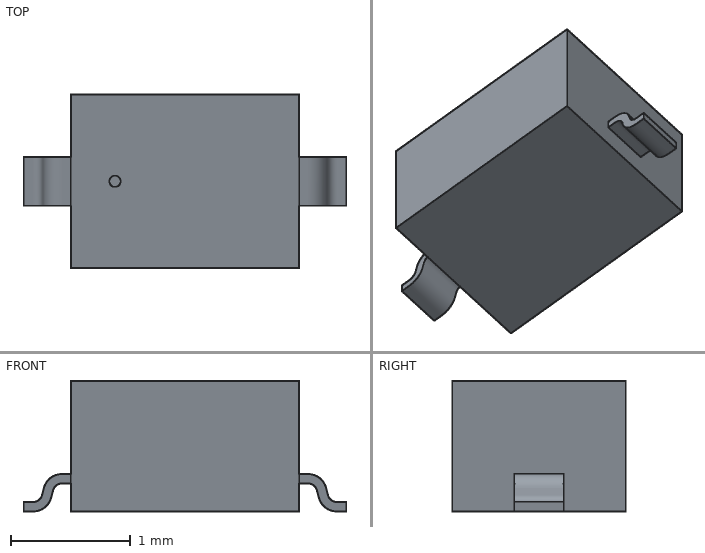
import cadquery as cq
import math

overall_length = 2.69
body_length = 1.902
body_width = 1.45
body_height = 1.09

lead_width = 0.41
lead_thickness = 0.08
lead_top = 0.315
shoulder_length = 0.075
inner_radius = 0.075
bend_angle = math.radians(75)

mark_diameter = 0.095
mark_depth = 0.027
mark_x = -0.585


def make_mark():
    """Thin disc whose upper face is level with the top of the body."""
    return (
        cq.Workplane("XY", origin=(mark_x, 0, body_height - mark_depth))
        .circle(mark_diameter / 2)
        .extrude(mark_depth)
    )


def make_body():
    """Plain rectangular block with a recess that holds the mark."""
    block = cq.Workplane("XY").box(body_length, body_width, body_height, centered=(True, True, False))
    return block.cut(make_mark())


def on_bend(center, radius, angle):
    """Point on a bend, with the angle measured counterclockwise from +X."""
    return (center[0] + radius * math.cos(angle), center[1] + radius * math.sin(angle))


def make_right_lead():
    """S-shaped strip from the +X wall of the body down to the base plane."""
    wall_x = body_length / 2
    tip_x = overall_length / 2
    outer_radius = inner_radius + lead_thickness

    total_drop = lead_top - lead_thickness
    bends_drop = (inner_radius + outer_radius) * (1 - math.cos(bend_angle))
    slope_run = (total_drop - bends_drop) / math.tan(bend_angle)
    bends_run = (inner_radius + outer_radius) * math.sin(bend_angle)

    upper_center = (wall_x + shoulder_length, lead_top - outer_radius)
    lower_center = (upper_center[0] + bends_run + slope_run, outer_radius)

    upper_start = math.pi / 2
    upper_middle = upper_start - bend_angle / 2
    upper_end = upper_start - bend_angle
    lower_start = upper_end + math.pi
    lower_middle = lower_start + bend_angle / 2
    lower_end = lower_start + bend_angle

    profile = (
        cq.Workplane("XZ", origin=(0, lead_width / 2, 0))
        .moveTo(wall_x, lead_top)
        .lineTo(*on_bend(upper_center, outer_radius, upper_start))
        .threePointArc(
            on_bend(upper_center, outer_radius, upper_middle),
            on_bend(upper_center, outer_radius, upper_end),
        )
        .lineTo(*on_bend(lower_center, inner_radius, lower_start))
        .threePointArc(
            on_bend(lower_center, inner_radius, lower_middle),
            on_bend(lower_center, inner_radius, lower_end),
        )
        .lineTo(tip_x, lead_thickness)
        .lineTo(tip_x, 0)
        .lineTo(*on_bend(lower_center, outer_radius, lower_end))
        .threePointArc(
            on_bend(lower_center, outer_radius, lower_middle),
            on_bend(lower_center, outer_radius, lower_start),
        )
        .lineTo(*on_bend(upper_center, inner_radius, upper_end))
        .threePointArc(
            on_bend(upper_center, inner_radius, upper_middle),
            on_bend(upper_center, inner_radius, upper_start),
        )
        .lineTo(wall_x, lead_top - lead_thickness)
        .close()
    )
    return profile.extrude(lead_width)


def make_leads():
    """One lead on each end of the body, half a turn apart about Z."""
    leads = []
    for turn in (0, 180):
        lead = make_right_lead().rotate((0, 0, 0), (0, 0, 1), turn)
        leads.append(lead.val())
    return leads


body = make_body()
leads = make_leads()
mark = make_mark()

result = cq.Compound.makeCompound([body.val(), *leads, mark.val()])